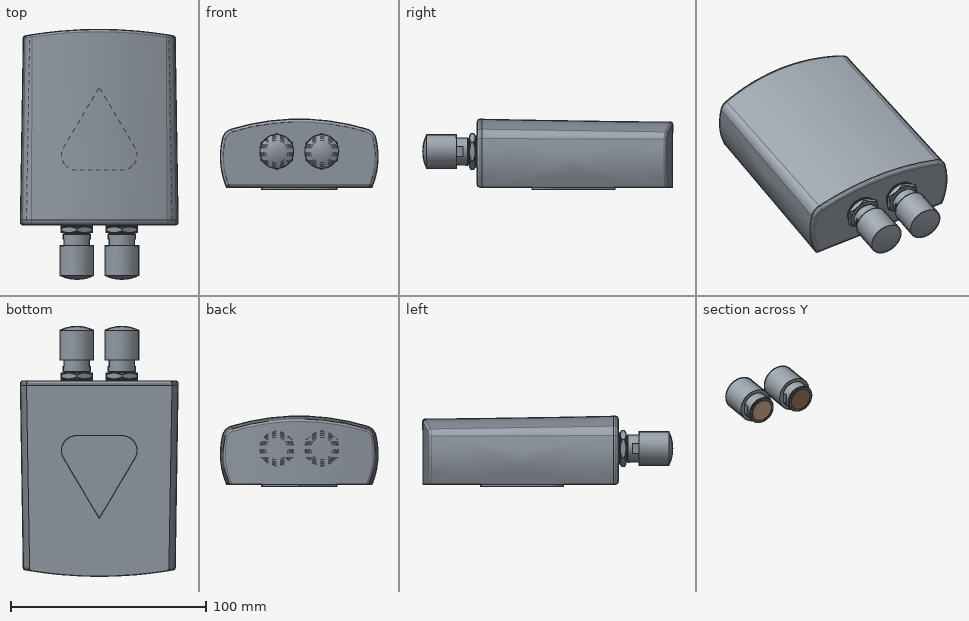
import cadquery as cq
import math


case_height = 35.0
case_width = 80.8
side_radius = case_width / 2
side_center_z = 15.6
crown_radius = 119.2
shoulder_radius = 6.7

panel_thickness = 2.4
panel_edge_radius = 1.5

case_length = 100.2
draft_angle = 0.9
back_radius = 217.8
back_edge_radius = 1.3

pad_height = 1.2
pad_front_y = 28.0
pad_back_y = 70.5
pad_width = 38.7
pad_corner_radius = 7.7

connector_spacing = 23.0
connector_z = 18.3
nut_across_flats = 16.0
nut_chamfer_depth = 0.9
washer_radius = nut_across_flats / 2
washer_chamfer = 0.3
neck_radius = 5.8
barrel_radius = 7.0
barrel_chamfer = 0.4
barrel_flat_width = 13.1
cap_radius = 8.7
dome_height = 2.0

washer_end = 1.0
nut_end = 4.0
neck_end = 4.5
flats_start = 7.3
barrel_end = 10.6
cap_end = 25.9
connector_length = cap_end + dome_height


def case_section(start_y, length, taper=0):
    """Solid of the case cross-section, running from start_y towards +Y."""
    crown_center_z = case_height - crown_radius
    center_gap = side_center_z - crown_center_z
    corner_offset = (crown_radius**2 - side_radius**2 - center_gap**2) / (2 * center_gap)
    corner_z = side_center_z + corner_offset
    corner_x = math.sqrt(side_radius**2 - corner_offset**2)
    lower_z = -side_center_z / 2
    lower_x = math.sqrt(side_radius**2 - (side_center_z - lower_z) ** 2)

    plane = cq.Plane(origin=(0, start_y, 0), xDir=(-1, 0, 0), normal=(0, 1, 0))
    outline = (
        cq.Workplane(plane)
        .moveTo(-lower_x, lower_z)
        .lineTo(lower_x, lower_z)
        .threePointArc((side_radius, side_center_z), (corner_x, corner_z))
        .threePointArc((0, case_height), (-corner_x, corner_z))
        .threePointArc((-side_radius, side_center_z), (-lower_x, lower_z))
        .close()
        .wire()
    )
    shoulders = [vertex for vertex in outline.val().Vertices() if vertex.Z > side_center_z]
    rounded = outline.val().fillet2D(shoulder_radius, shoulders)
    solid = cq.Workplane(plane).newObject([rounded]).toPending().extrude(length, taper=taper)
    above_underside = cq.Workplane("XY").box(
        4 * side_radius, 4 * case_length, 2 * case_height, centered=(True, True, False)
    )
    return solid.intersect(above_underside)


def make_pad():
    """Rounded triangle with its point towards the back."""
    center_x = pad_width / 2 - pad_corner_radius
    center_y = pad_front_y + pad_corner_radius
    point_distance = math.hypot(center_x, pad_back_y - center_y)
    side_angle = math.atan2(center_x, pad_back_y - center_y)
    side_angle += math.asin(pad_corner_radius / point_distance)
    touch_x = center_x + pad_corner_radius * math.cos(side_angle)
    touch_y = center_y + pad_corner_radius * math.sin(side_angle)
    diagonal = pad_corner_radius * math.sqrt(0.5)
    return (
        cq.Workplane("XY")
        .moveTo(0, pad_back_y)
        .lineTo(touch_x, touch_y)
        .threePointArc((center_x + diagonal, center_y - diagonal), (center_x, pad_front_y))
        .lineTo(-center_x, pad_front_y)
        .threePointArc((-center_x - diagonal, center_y - diagonal), (-touch_x, touch_y))
        .close()
        .extrude(-pad_height)
    )


def make_housing():
    body = case_section(panel_thickness, case_length, draft_angle)
    back_cylinder = (
        cq.Workplane("XY")
        .center(0, case_length - back_radius)
        .circle(back_radius)
        .extrude(2 * case_height)
    )
    body = body.intersect(back_cylinder)
    back_edges = body.faces(">Y").edges("not <Z")
    body = body.newObject(back_edges.vals()).fillet(back_edge_radius)
    return body.union(make_pad())


def make_panel():
    return case_section(0, panel_thickness).faces("<Y").edges().fillet(panel_edge_radius)


def make_washer():
    return (
        cq.Workplane("XY").circle(washer_radius).extrude(washer_end).edges().chamfer(washer_chamfer)
    )


def make_nut():
    nut_length = nut_end - washer_end
    corner_diameter = nut_across_flats / math.cos(math.pi / 6)
    hexagon = (
        cq.Workplane("XY")
        .workplane(offset=washer_end)
        .polygon(6, corner_diameter)
        .extrude(nut_length)
        .rotate((0, 0, 0), (0, 0, 1), 30)
    )
    flat_radius = nut_across_flats / 2
    corner_radius = corner_diameter / 2
    disc = (
        cq.Workplane("XZ")
        .moveTo(0, washer_end)
        .lineTo(flat_radius, washer_end)
        .lineTo(corner_radius, washer_end + nut_chamfer_depth)
        .lineTo(corner_radius, nut_end - nut_chamfer_depth)
        .lineTo(flat_radius, nut_end)
        .lineTo(0, nut_end)
        .close()
        .revolve(360, (0, 0), (0, 1))
    )
    return hexagon.intersect(disc)


def make_barrel():
    barrel = (
        cq.Workplane("XY")
        .workplane(offset=neck_end)
        .circle(barrel_radius)
        .extrude(barrel_end - neck_end)
        .faces("<Z")
        .chamfer(barrel_chamfer)
    )
    between_flats = cq.Workplane("XY").box(
        barrel_flat_width, 2 * barrel_radius, connector_length, centered=(True, True, False)
    )
    before_flats = cq.Workplane("XY").circle(barrel_radius).extrude(flats_start)
    return barrel.intersect(between_flats.union(before_flats))


def make_cap():
    dome_radius = (cap_radius**2 + dome_height**2) / (2 * dome_height)
    half_radius = cap_radius / 2
    half_drop = dome_radius - math.sqrt(dome_radius**2 - half_radius**2)
    return (
        cq.Workplane("XZ")
        .moveTo(0, barrel_end)
        .lineTo(cap_radius, barrel_end)
        .lineTo(cap_radius, cap_end)
        .threePointArc((half_radius, connector_length - half_drop), (0, connector_length))
        .close()
        .revolve(360, (0, 0), (0, 1))
    )


def make_connector(x):
    """Connector built along +Z, then turned to point towards -Y from the panel."""
    neck = cq.Workplane("XY").circle(neck_radius).extrude(neck_end)
    connector = neck
    for stage in (make_washer(), make_nut(), make_barrel(), make_cap()):
        connector = connector.union(stage)
    return connector.rotate((0, 0, 0), (1, 0, 0), 90).translate((x, 0, connector_z))


housing = make_housing()
panel = make_panel()
connectors = [make_connector(side * connector_spacing / 2) for side in (-1, 1)]

result = cq.Compound.makeCompound(
    [housing.val(), panel.val(), *[connector.val() for connector in connectors]]
)